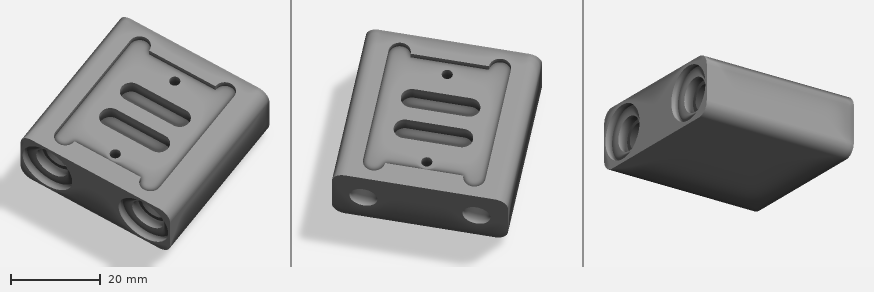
import cadquery as cq
import math

length = 40.0
width = 40.0
height = 15.0
edge_radius = 3.0
top_z = height / 2
front_y = -length / 2

bore_spacing = 25.7
through_diameter = 6.35
seat_diameter = 8.4
seat_depth = 4.2
recess_diameter = 13.3
recess_depth = 1.8

pocket_width = 27.8
pocket_length = 30.0
pocket_depth = 1.4
relief_diameter = 5.0
floor_z = top_z - pocket_depth

slot_length = 18.0
slot_width = 5.0
slot_spacing = 8.4
slot_depth = 3.4

hole_diameter = 2.5
hole_spacing = 24.0
hole_depth = 4.0
drill_point_angle = 118.0


def make_block():
    return cq.Workplane("XY").box(width, length, height).edges("|Y").fillet(edge_radius)


def front_bore(x, diameter, depth):
    axis_start = cq.Vector(x, front_y, 0)
    return cq.Solid.makeCylinder(diameter / 2, depth, axis_start, cq.Vector(0, 1, 0))


def cut_stepped_bores(body):
    steps = [
        (recess_diameter, recess_depth),
        (seat_diameter, seat_depth),
        (through_diameter, length),
    ]
    for x in (-bore_spacing / 2, bore_spacing / 2):
        for diameter, depth in steps:
            body = body.cut(front_bore(x, diameter, depth))
    return body


def make_pocket():
    relief_spacing = pocket_width - relief_diameter
    floor = cq.Workplane("XY").workplane(offset=floor_z)
    pocket = floor.rect(pocket_width, pocket_length).extrude(pocket_depth)
    reliefs = (
        floor.rect(relief_spacing, pocket_length, forConstruction=True)
        .vertices()
        .circle(relief_diameter / 2)
        .extrude(pocket_depth)
    )
    return pocket.union(reliefs)


def make_slots():
    return (
        cq.Workplane("XY")
        .workplane(offset=floor_z)
        .pushPoints([(0, -slot_spacing / 2), (0, slot_spacing / 2)])
        .slot2D(slot_length, slot_width)
        .extrude(-slot_depth)
    )


def make_blind_hole(y):
    radius = hole_diameter / 2
    point_depth = radius / math.tan(math.radians(drill_point_angle / 2))
    profile = [
        (0, floor_z),
        (radius, floor_z),
        (radius, floor_z - hole_depth),
        (0, floor_z - hole_depth - point_depth),
    ]
    hole = cq.Workplane("XZ").polyline(profile).close().revolve(360, (0, 0), (0, 1))
    return hole.translate((0, y, 0))


result = cut_stepped_bores(make_block())
result = result.cut(make_pocket()).cut(make_slots())
for hole_y in (-hole_spacing / 2, hole_spacing / 2):
    result = result.cut(make_blind_hole(hole_y))